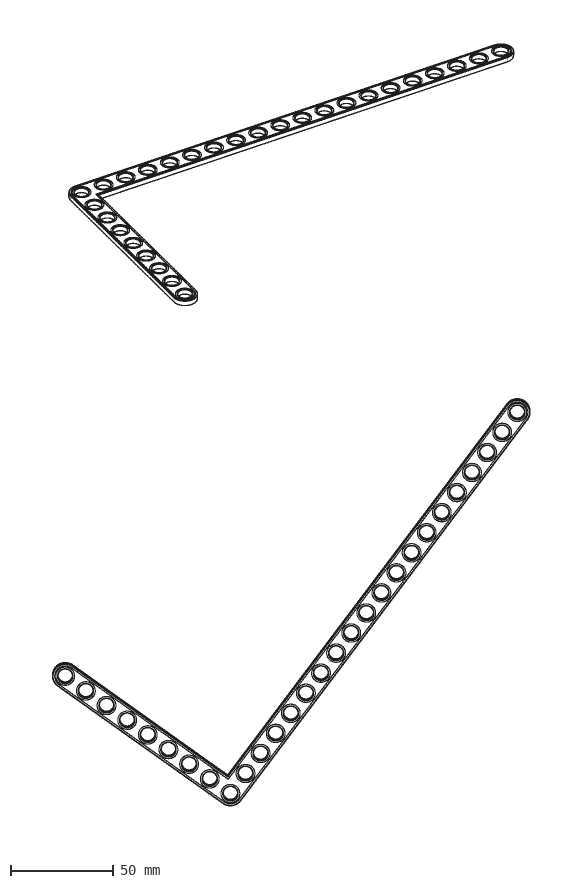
import cadquery as cq
import math

pitch = 12.5
holes_along_x = 9
holes_along_y = 20
thickness = pitch / 4
hole_diameter = 7.0
collar_diameter = 9.2
edge_chamfer = 0.3
rim_width = 1.1
recess_depth = 0.2

short_reach = (holes_along_x - 1) * pitch
long_reach = (holes_along_y - 1) * pitch
arm_half_width = pitch / 2
recess_half_width = arm_half_width - rim_width
hole_radius = hole_diameter / 2
mouth_radius = hole_radius + edge_chamfer

hole_centers = [(i * pitch, 0) for i in range(holes_along_x)]
hole_centers += [(0, i * pitch) for i in range(1, holes_along_y)]


def make_angle(half_width, base_z, height):
    """L-shaped slab around the corner hole, with round arm ends and a round outer corner."""
    corner_mid = -half_width * math.sqrt(0.5)
    return (
        cq.Workplane("XY", origin=(0, 0, base_z))
        .moveTo(0, -half_width)
        .lineTo(short_reach, -half_width)
        .threePointArc((short_reach + half_width, 0), (short_reach, half_width))
        .lineTo(half_width, half_width)
        .lineTo(half_width, long_reach)
        .threePointArc((0, long_reach + half_width), (-half_width, long_reach))
        .lineTo(-half_width, 0)
        .threePointArc((corner_mid, corner_mid), (0, -half_width))
        .close()
        .extrude(height)
    )


def make_plate():
    """Solid L-shaped plate, beveled along its outline on both faces."""
    plate = make_angle(arm_half_width, 0, thickness)
    return plate.faces("<Z or >Z").edges().chamfer(edge_chamfer)


def make_recess(base_z):
    """Sunken panels of one face: the inset outline minus the hole collars."""
    collars = (
        cq.Workplane("XY", origin=(0, 0, base_z))
        .pushPoints(hole_centers)
        .circle(collar_diameter / 2)
        .extrude(recess_depth)
    )
    return make_angle(recess_half_width, base_z, recess_depth).cut(collars)


def make_holes():
    """Through holes at every center, beveled 45 degrees at both mouths."""
    cutter = (
        cq.Workplane("XZ")
        .lineTo(mouth_radius, 0)
        .lineTo(hole_radius, edge_chamfer)
        .lineTo(hole_radius, thickness - edge_chamfer)
        .lineTo(mouth_radius, thickness)
        .lineTo(0, thickness)
        .close()
        .revolve(360, (0, 0, 0), (0, 1, 0))
        .val()
    )
    return (
        cq.Workplane("XY")
        .pushPoints(hole_centers)
        .eachpoint(lambda place: cutter.moved(place))
    )


bottom_recess = make_recess(0)
top_recess = make_recess(thickness - recess_depth)

result = make_plate().cut(make_holes()).cut(bottom_recess).cut(top_recess)